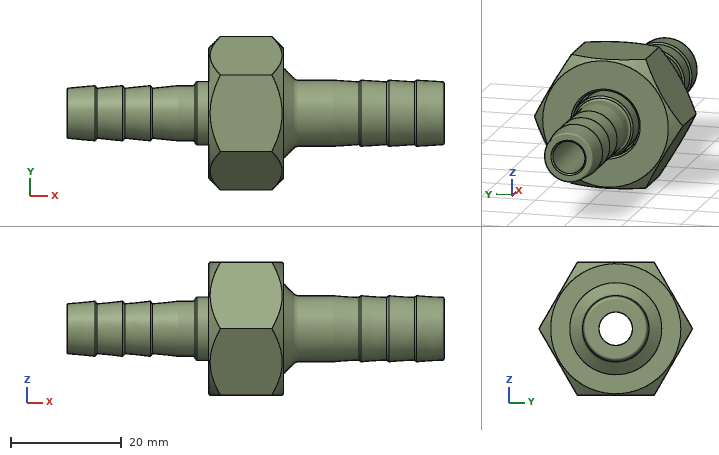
import cadquery as cq
import math

length = 68.0
left_end = -length / 2
right_end = length / 2
bore_radius = 6.0 / 2
bore_edge_chamfer = 0.3

barb_count = 3
barbs_length = 20.0
barb_pitch = barbs_length / (barb_count + 1)
barb_step = 0.4
left_crest_radius = 10.0 / 2
left_valley_radius = 9.05 / 2
left_tip_fillet = 0.3
right_crest_radius = 12.0 / 2
right_valley_radius = 11.35 / 2
right_tip_fillet = 0.4

nut_start = left_end + 25.5
nut_width = 13.5
nut_end = nut_start + nut_width
across_flats = 24.0
across_corners = across_flats / math.cos(math.pi / 6)
nut_face_radius = 23.45 / 2
corner_chamfer = across_corners / 2 - nut_face_radius
nut_hole_radius = 12.3 / 2
nut_hole_chamfer = 0.35
nut_wall = 2.5
cavity_radius = 16.6 / 2

collar_radius = 11.5 / 2
collar_start = left_end + 23.05
collar_chamfer = 0.35
collar_root_fillet = 0.35
flange_start = nut_start + nut_wall
flange_width = 2.7
flange_end = flange_start + flange_width

cone_inset = 0.15
cone_start = nut_end - cone_inset
cone_end = cone_start + cavity_radius - right_crest_radius
cone_root_fillet = 0.95


def barb_points(tip_x, inward, crest_radius, valley_radius):
    """Outline points (x, radius) from the tip over the barbs to the plain shank.

    inward is +1 or -1, the X direction from the tip into the tail.
    """
    points = [(tip_x, valley_radius)]
    for barb in range(1, barb_count + 1):
        crest_x = tip_x + inward * barb * barb_pitch
        points.append((crest_x, crest_radius))
        points.append((crest_x + inward * barb_step, valley_radius))
    points.append((tip_x + inward * barbs_length, crest_radius))
    return points


def revolve_about_x(points):
    """Revolve a closed (x, radius) outline about the X axis."""
    return cq.Workplane("XY").polyline(points).close().revolve(360, (0, 0, 0), (1, 0, 0))


def circle_edge(x, radius):
    """Selector for the circular edge of a given radius at a given x."""
    margin = 0.035
    return cq.selectors.BoxSelector(
        (x - margin, -radius - margin, -radius - margin),
        (x + margin, radius + margin, radius + margin),
        boundingbox=True,
    )


def make_left_tail():
    outline = [(left_end, bore_radius)]
    outline += barb_points(left_end, 1, left_crest_radius, left_valley_radius)
    outline += [
        (collar_start, left_crest_radius),
        (collar_start, collar_radius - collar_chamfer),
        (collar_start + collar_chamfer, collar_radius),
        (flange_start, collar_radius),
        (flange_start, cavity_radius),
        (flange_end, cavity_radius),
        (flange_end, bore_radius),
    ]
    tail = revolve_about_x(outline)
    tail = tail.edges(circle_edge(collar_start, left_crest_radius)).fillet(collar_root_fillet)
    tail = tail.edges(circle_edge(left_end, bore_radius)).chamfer(bore_edge_chamfer)
    return tail.faces("<X").edges(cq.selectors.RadiusNthSelector(-1)).fillet(left_tip_fillet)


def make_right_tail():
    outline = [(right_end, bore_radius)]
    outline += barb_points(right_end, -1, right_crest_radius, right_valley_radius)
    outline += [
        (cone_end, right_crest_radius),
        (cone_start, cavity_radius),
        (flange_end, cavity_radius),
        (flange_end, bore_radius),
    ]
    tail = revolve_about_x(outline)
    tail = tail.edges(circle_edge(cone_end, right_crest_radius)).fillet(cone_root_fillet)
    return tail.faces(">X").edges(cq.selectors.RadiusNthSelector(-1)).fillet(right_tip_fillet)


def make_nut():
    hexagon = (
        cq.Workplane("YZ", origin=(nut_start, 0, 0))
        .polygon(6, across_corners)
        .extrude(nut_width)
    )
    beveled_round = (
        cq.Workplane("YZ", origin=(nut_start, 0, 0))
        .circle(across_corners / 2)
        .extrude(nut_width)
        .edges()
        .chamfer(corner_chamfer)
    )
    opening = revolve_about_x([
        (nut_start, 0),
        (nut_start, nut_hole_radius + nut_hole_chamfer),
        (nut_start + nut_hole_chamfer, nut_hole_radius),
        (flange_start, nut_hole_radius),
        (flange_start, cavity_radius),
        (nut_end, cavity_radius),
        (nut_end, 0),
    ])
    return hexagon.intersect(beveled_round).cut(opening)


left_tail = make_left_tail()
right_tail = make_right_tail()
nut = make_nut()

result = cq.Compound.makeCompound([
    left_tail.solids().val(), right_tail.solids().val(), nut.solids().val()])